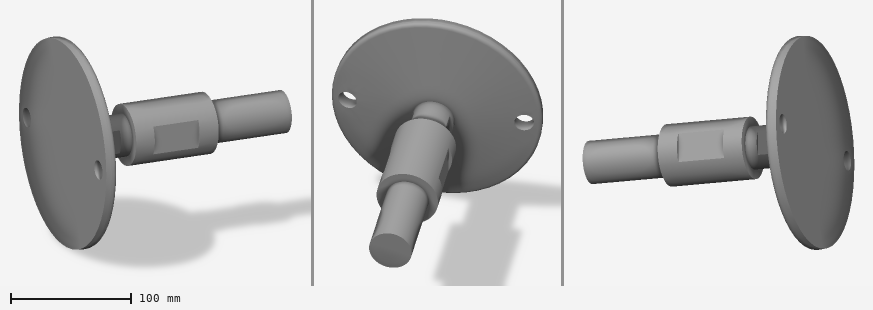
import cadquery as cq
import math


total_length = 200.0
plate_diameter = 178.0
stem_diameter = 36.0
sleeve_diameter = 52.0

plate_bottom_diameter = 177.0
draft_height = 4.8
rim_fillet = 3.5
cone_height = 21.8
cone_angle = 10.0

hole_diameter = 16.5
hole_offset = 72.5
hole_count = 2

sleeve_start = 55.2
sleeve_length = 74.8
sleeve_flat_width = 46.0
sleeve_flat_start = 72.0
sleeve_flat_length = 40.8
stem_flat_width = 29.8
stem_flat_start = 27.5
stem_flat_length = 17.5


def rod(diameter, start, length):
    """Solid cylinder along +Y."""
    return cq.Workplane("XZ", origin=(0, start, 0)).circle(diameter / 2).extrude(-length)


def cut_wrench_flats(body, diameter, width_across, start, length):
    """Cut two opposite flats that face -X and +X."""
    block = cq.Workplane("XY").box(diameter, length, diameter)
    for side in (-1, 1):
        block_center_x = side * (width_across + diameter) / 2
        body = body.cut(block.translate((block_center_x, start + length / 2, 0)))
    return body


def make_plate():
    """Revolved plate: drafted rim, straight band, rounded shoulder and conical top."""
    stem_radius = stem_diameter / 2
    rim_radius = plate_diameter / 2
    slope = math.radians(cone_angle)
    fillet_center_x = rim_radius - rim_fillet
    cone_height_at_center = cone_height - (fillet_center_x - stem_radius) * math.tan(slope)
    fillet_start = cone_height_at_center - rim_fillet / math.cos(slope)

    def on_fillet(angle):
        return (fillet_center_x + rim_fillet * math.cos(angle), fillet_start + rim_fillet * math.sin(angle))

    cone_tangent_angle = math.pi / 2 - slope
    return (
        cq.Workplane("XY")
        .lineTo(plate_bottom_diameter / 2, 0)
        .lineTo(rim_radius, draft_height)
        .lineTo(rim_radius, fillet_start)
        .threePointArc(on_fillet(cone_tangent_angle / 2), on_fillet(cone_tangent_angle))
        .lineTo(stem_radius, cone_height)
        .lineTo(0, cone_height)
        .close()
        .revolve(360, (0, 0, 0), (0, 1, 0))
    )


def make_mounting_hole(angle):
    """Cutter through the plate, leaning outward toward the cone."""
    cutter_length = 2 * cone_height
    lean = math.radians(cone_angle)
    cutter = cq.Solid.makeCylinder(
        hole_diameter / 2,
        2 * cutter_length,
        cq.Vector(hole_offset - cutter_length * math.sin(lean), -cutter_length * math.cos(lean), 0),
        cq.Vector(math.sin(lean), math.cos(lean), 0),
    )
    return cutter.rotate(cq.Vector(0, 0, 0), cq.Vector(0, 1, 0), angle)


def make_foot():
    """Plate and stem in one piece, with mounting holes and stem flats."""
    stem = rod(stem_diameter, 0, total_length)
    stem = cut_wrench_flats(stem, stem_diameter, stem_flat_width, stem_flat_start, stem_flat_length)
    foot = make_plate().union(stem)
    for index in range(hole_count):
        foot = foot.cut(cq.Workplane(make_mounting_hole(index * 360 / hole_count)))
    return foot


def make_sleeve():
    """Sleeve bored to fit the stem, with two wrench flats."""
    sleeve = rod(sleeve_diameter, sleeve_start, sleeve_length)
    sleeve = cut_wrench_flats(
        sleeve, sleeve_diameter, sleeve_flat_width, sleeve_flat_start, sleeve_flat_length
    )
    return sleeve.cut(rod(stem_diameter, sleeve_start, sleeve_length))


foot = make_foot()
sleeve = make_sleeve()
result = cq.Compound.makeCompound([foot.val(), sleeve.val()])